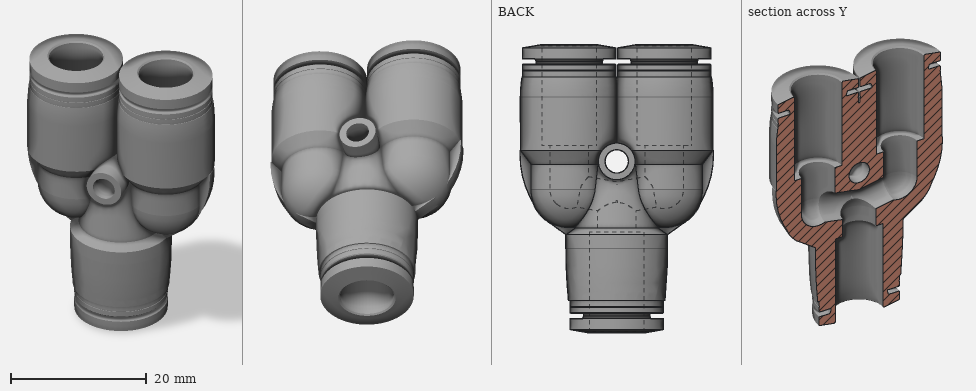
import cadquery as cq
import math

total_height = 42.4
port_offset = 7.0

button_radius = 13.8 / 2
button_face_depth = 0.45
button_depth = 2.08
neck_outer_radius = 5.05
neck_radius = 9.8 / 2
neck_taper_depth = 2.45
collar_depth = 2.85
collar_chamfer = 0.13
groove_depth = 3.75
groove_width = 0.15
groove_cut = 0.1
shoulder_depth = 4.75

arm_radius = 7.2
arm_shoulder_radius = 6.95
arm_taper_depth = 7.7
arm_bottom_z = 26.8
ball_radius = 5.72
ball_neck_z = 24.8
ball_z = 21.1

base_radius = 15.0 / 2
base_shoulder_radius = 7.12
base_taper_z = 12.4
base_top_z = 14.45
stem_radius = 6.25
stem_bottom_z = 15.4
stem_top_radius = 4.65

boss_diameter = 5.4
boss_length = 15.1
boss_z = 25.23
pin_hole_diameter = 3.4

rib_width = 2.08
rib_outer_x = 14.25
rib_root_x = 4.25
rib_arc_top_z = 26.15
rib_arc_radius = 13.8
rib_arc_angle = math.radians(45)

tube_bore_radius = 8.0 / 2
bore_mouth_chamfer = 0.2
tube_stop_depth = 14.85
flow_radius = 5.7 / 2
passage_radius = 4.7 / 2
passage_slope = math.radians(10.5)


def revolve_profile(profile):
    """Turn a closed radius/height profile about the Z axis."""
    return profile.close().revolve(360, (0, 0, 0), (0, 1, 0))


def port_outline(end_z, inward):
    """Start a port profile on the axis at its end and run to the body shoulder."""
    def at(depth):
        return end_z + inward * depth

    groove_radius = button_radius - groove_cut
    return (
        cq.Workplane("XZ")
        .moveTo(0, end_z)
        .lineTo(tube_bore_radius + bore_mouth_chamfer, end_z)
        .lineTo(button_radius, at(button_face_depth))
        .lineTo(button_radius, at(button_depth))
        .lineTo(neck_outer_radius, at(button_depth))
        .lineTo(neck_radius, at(neck_taper_depth))
        .lineTo(neck_radius, at(collar_depth))
        .lineTo(button_radius - collar_chamfer, at(collar_depth))
        .lineTo(button_radius, at(collar_depth + collar_chamfer))
        .lineTo(button_radius, at(groove_depth))
        .lineTo(groove_radius, at(groove_depth))
        .lineTo(groove_radius, at(groove_depth + groove_width))
        .lineTo(button_radius, at(groove_depth + groove_width))
        .lineTo(button_radius, at(shoulder_depth))
    )


def bulged_taper(profile, start, end):
    """Extend a profile with an arc that meets a vertical wall tangentially at its end."""
    rise = end[1] - start[1]
    growth = end[0] - start[0]
    arc_radius = (rise**2 + growth**2) / (2 * growth)
    half_angle = math.asin(abs(rise) / arc_radius) / 2
    middle = (
        end[0] - arc_radius * (1 - math.cos(half_angle)),
        end[1] - math.copysign(arc_radius * math.sin(half_angle), rise),
    )
    return profile.lineTo(*start).threePointArc(middle, end)


def make_arm():
    """Upper port with its tapered body, ending in a half ball."""
    profile = bulged_taper(
        port_outline(total_height, -1),
        (arm_shoulder_radius, total_height - shoulder_depth),
        (arm_radius, total_height - arm_taper_depth),
    )
    half_chord = ball_radius * math.sqrt(0.5)
    profile = (
        profile.lineTo(arm_radius, arm_bottom_z)
        .lineTo(ball_radius, ball_neck_z)
        .lineTo(ball_radius, ball_z)
        .threePointArc((half_chord, ball_z - half_chord), (0, ball_z - ball_radius))
    )
    return revolve_profile(profile)


def make_base():
    """Lower port with its body and the conical stem that joins the arms."""
    profile = bulged_taper(
        port_outline(0, 1),
        (base_shoulder_radius, shoulder_depth),
        (base_radius, base_taper_z),
    )
    profile = (
        profile.lineTo(base_radius, base_top_z)
        .lineTo(stem_radius, stem_bottom_z)
        .lineTo(stem_top_radius, boss_z)
        .lineTo(0, boss_z)
    )
    return revolve_profile(profile)


def make_rib(side):
    """Flat web under one arm; side is -1 or 1 along X."""
    def arc_point(angle):
        x = rib_outer_x - rib_arc_radius * (1 - math.cos(angle))
        return side * x, rib_arc_top_z - rib_arc_radius * math.sin(angle)

    return (
        cq.Workplane("XZ")
        .moveTo(side * port_offset, arm_bottom_z)
        .lineTo(side * rib_outer_x, arm_bottom_z)
        .lineTo(side * rib_outer_x, rib_arc_top_z)
        .threePointArc(arc_point(rib_arc_angle / 2), arc_point(rib_arc_angle))
        .lineTo(side * base_radius, base_top_z)
        .lineTo(side * rib_root_x, base_top_z)
        .close()
        .extrude(rib_width / 2, both=True)
    )


def cross_cylinder(diameter):
    """Cylinder along Y at the cross boss, as long as the boss."""
    return (
        cq.Workplane("XZ")
        .center(0, boss_z)
        .circle(diameter / 2)
        .extrude(boss_length / 2, both=True)
    )


def make_bore(end_z, inward, flow_end_z):
    """Chamfered tube socket, narrower flow bore and its ball-shaped end."""
    stop_z = end_z + inward * tube_stop_depth
    half_chord = flow_radius * math.sqrt(0.5)
    profile = (
        cq.Workplane("XZ")
        .moveTo(0, end_z)
        .lineTo(tube_bore_radius + bore_mouth_chamfer, end_z)
        .lineTo(tube_bore_radius, end_z + inward * bore_mouth_chamfer)
        .lineTo(tube_bore_radius, stop_z)
        .lineTo(flow_radius, stop_z)
        .lineTo(flow_radius, flow_end_z)
        .threePointArc(
            (half_chord, flow_end_z + inward * half_chord),
            (0, flow_end_z + inward * flow_radius),
        )
    )
    return revolve_profile(profile)


def make_passage(side):
    """Sloping passage from the ball end of an arm bore down to the Z axis."""
    start = cq.Vector(side * port_offset, 0, ball_z)
    direction = cq.Vector(-side * math.cos(passage_slope), 0, -math.sin(passage_slope))
    length = port_offset / math.cos(passage_slope)
    return cq.Workplane(cq.Solid.makeCylinder(passage_radius, length, start, direction))


result = make_base().union(cross_cylinder(boss_diameter))
for side in (-1, 1):
    result = result.union(make_arm().translate((side * port_offset, 0, 0)))
    result = result.union(make_rib(side))

junction_z = ball_z - port_offset * math.tan(passage_slope)
result = result.cut(make_bore(0, 1, junction_z - passage_radius))
for side in (-1, 1):
    arm_bore = make_bore(total_height, -1, ball_z)
    result = result.cut(arm_bore.translate((side * port_offset, 0, 0)))
    result = result.cut(make_passage(side))
result = result.cut(cross_cylinder(pin_hole_diameter))